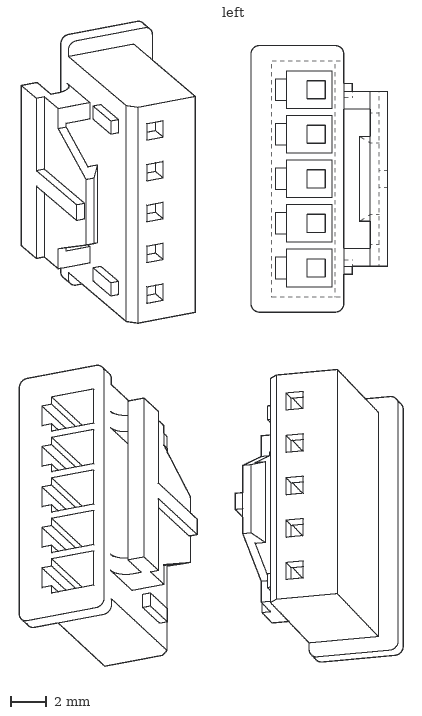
import cadquery as cq


flange_height = 15.0
flange_width = 5.24
flange_thickness = 1.0
flange_corner_radius = 0.5

body_length = 9.1
body_height = 13.26
body_width = 4.06
body_chamfer = 0.5

contact_count = 5
contact_pitch = 2.5
end_wall = 1.0
cavity_near_y = 0.66
cavity_width = 2.58
cavity_height = 2.12
key_width = 0.6
key_height = 1.22
key_depth = 4.5
pin_hole_size = 1.0
pin_hole_y = 1.56

overall_depth = 7.7
arm_outer_y = flange_width - overall_depth
arm_layer = 0.5
arm_plate_y = arm_outer_y + arm_layer
arm_inner_y = arm_plate_y + arm_layer
arm_height = 9.84
arm_shoulder_height = 7.38
arm_tip_height = 4.04
arm_tip_x = 7.48
grip_length = 2.0
rib_end_x = 7.29
rib_height = 0.96

post_start_x = 1.82
post_end_x = 3.82
post_height = 1.0
post_fillet_radius = 0.96

hook_start_x = 6.68
hook_rise = 0.6

peg_start_x = 5.26
peg_length = 2.32
peg_height = 0.81
peg_depth = 0.48
peg_center_z = 4.96


def block(x_range, y_range, height, center_z=0.0):
    """Box spanning the X and Y ranges, centred on center_z."""
    x_start, x_end = x_range
    y_start, y_end = y_range
    return (
        cq.Workplane("XY")
        .box(x_end - x_start, y_end - y_start, height, centered=(False, False, True))
        .translate((x_start, y_start, center_z))
    )


def make_shell():
    flange = block((0, flange_thickness), (0, flange_width), flange_height)
    flange = flange.edges("|X").fillet(flange_corner_radius)
    body = block((0, body_length), (0, body_width), body_height)
    body = body.edges(">X and <Y").chamfer(body_chamfer)
    return flange.union(body)


def make_cavity(center_z):
    """Contact pocket with a shallower key slot and a pin hole through the end wall."""
    cavity_end_x = body_length - end_wall
    cavity_far_y = cavity_near_y + cavity_width
    pin_hole_near_y = pin_hole_y - pin_hole_size / 2
    pocket = block((0, cavity_end_x), (cavity_near_y, cavity_far_y), cavity_height, center_z)
    key = block((0, key_depth), (cavity_near_y, cavity_far_y + key_width), key_height, center_z)
    pin_hole = block(
        (0, body_length), (pin_hole_near_y, pin_hole_near_y + pin_hole_size), pin_hole_size, center_z
    )
    return pocket.union(key).union(pin_hole)


def make_arm_plate():
    """Inner layer of the arm with its hook, trimmed to the tapered outline."""
    profile = (
        cq.Workplane("XY")
        .moveTo(0, arm_plate_y)
        .lineTo(arm_tip_x, arm_plate_y)
        .lineTo(arm_tip_x, arm_inner_y)
        .lineTo(hook_start_x, arm_inner_y + hook_rise)
        .lineTo(hook_start_x, arm_inner_y)
        .lineTo(0, arm_inner_y)
        .close()
        .extrude(arm_height / 2, both=True)
    )
    outline = (
        cq.Workplane("XZ")
        .moveTo(0, arm_height / 2)
        .lineTo(post_end_x, arm_height / 2)
        .lineTo(post_end_x, arm_shoulder_height / 2)
        .lineTo(arm_tip_x, arm_tip_height / 2)
        .lineTo(arm_tip_x, -arm_tip_height / 2)
        .lineTo(post_end_x, -arm_shoulder_height / 2)
        .lineTo(post_end_x, -arm_height / 2)
        .lineTo(0, -arm_height / 2)
        .close()
        .extrude(overall_depth, both=True)
    )
    return profile.intersect(outline)


def make_post(center_z):
    """Post from the arm to the body, flaring into the body with a round."""
    return (
        cq.Workplane("XY", origin=(0, 0, center_z))
        .moveTo(post_end_x, 0)
        .lineTo(post_end_x, arm_plate_y)
        .lineTo(post_start_x, arm_plate_y)
        .lineTo(post_start_x, -post_fillet_radius)
        .radiusArc((post_start_x - post_fillet_radius, 0), -post_fillet_radius)
        .close()
        .extrude(post_height / 2, both=True)
    )


def make_latch():
    grip = block((0, grip_length), (arm_outer_y, arm_plate_y), arm_height)
    rib = block((0, rib_end_x), (arm_outer_y, arm_plate_y), rib_height)
    latch = make_arm_plate().union(grip).union(rib)
    post_center_z = (arm_height - post_height) / 2
    for side in (-1, 1):
        latch = latch.union(make_post(side * post_center_z))
    return latch


result = make_shell().union(make_latch())

for side in (-1, 1):
    peg = block((peg_start_x, peg_start_x + peg_length), (-peg_depth, 0), peg_height, side * peg_center_z)
    result = result.union(peg)

for index in range(contact_count):
    cavity_z = (index - (contact_count - 1) / 2) * contact_pitch
    result = result.cut(make_cavity(cavity_z))